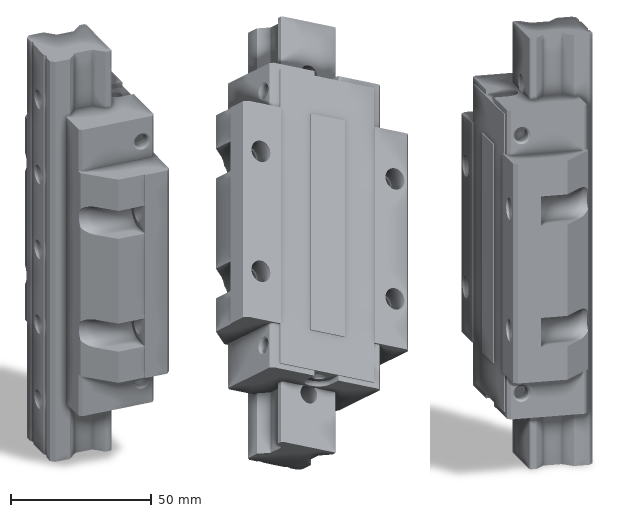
import cadquery as cq


RAIL_LENGTH = 160.0
RAIL_WIDTH = 23.0
RAIL_HEIGHT = 23.5
RAIL_BASE_CHAMFER = 1.5
RAIL_HEAD_CHAMFER = 0.5
FLANK_BOTTOM = 7.2
WAIST_BOTTOM = 10.7
WAIST_TOP = 17.5
FLANK_TOP = 21.1
WAIST_HALF_WIDTH = RAIL_WIDTH / 2 - (WAIST_BOTTOM - FLANK_BOTTOM)
GROOVE_OFFSET = 5.8
GROOVE_WIDTH = 2.5
GROOVE_DEPTH = 0.5
RAIL_HOLE_DIAMETER = 7.0
RAIL_HOLE_COUNT = 5
RAIL_HOLE_END_DISTANCE = 20.0
RAIL_HOLE_PITCH = (RAIL_LENGTH - 2 * RAIL_HOLE_END_DISTANCE) / (RAIL_HOLE_COUNT - 1)

CARRIAGE_WIDTH = 70.0
CARRIAGE_BOTTOM = 5.6
CARRIAGE_TOP = 36.0
FLANGE_LENGTH = 81.3
UNDERSIDE_HALF_WIDTH = 24.3
TOP_EDGE_CHAMFER = 1.5
REFERENCE_STEP = 0.5
REFERENCE_BOTTOM = 26.0
SLOPE_RISE = CARRIAGE_WIDTH / 2 - UNDERSIDE_HALF_WIDTH
RELIEF_DEPTH = 0.5
RELIEF_INNER = 7.2
RELIEF_OUTER = 19.8
RELIEF_FLOOR = CARRIAGE_TOP - RELIEF_DEPTH

CAPPED_LENGTH = 114.5
CAP_WIDTH = 46.9
CAP_TOP = 35.0
CAP_CHAMFER = 1.1
SEAL_THICKNESS = 2.0

MOUNT_X = 28.5
MOUNT_Z = 22.5
MOUNT_DIAMETER = 6.7
THREAD_DIAMETER = 8.0
THREAD_START = 27.7
POCKET_WIDTH = 11.2
POCKET_FLOOR = 26.0

PORT_HEIGHT = 30.0
PORT_DIAMETER = 5.1
END_SLOT_WIDTH = 10.0
END_PORT_DEPTH = 6.4
SIDE_PORT_INSET = 9.5
SIDE_PORT_DEPTH = 4.8
SIDE_PORT_RIM_DIAMETER = 6.4


def bar(points, length):
    """Prism along Z, centred on Z = 0, from an outline of (x, y) points."""
    return cq.Workplane("XY").polyline(points).close().extrude(length / 2, both=True)


def box(x_min, x_max, y_min, y_max, length):
    """Rectangular bar along Z, centred on Z = 0."""
    return bar([(x_min, y_min), (x_max, y_min), (x_max, y_max), (x_min, y_max)], length)


def y_cylinder(x, z, diameter, y_min, y_max):
    """Cylinder along Y between two heights."""
    start = cq.Vector(x, y_min, z)
    axis = cq.Vector(0, 1, 0)
    return cq.Workplane(cq.Solid.makeCylinder(diameter / 2, y_max - y_min, start, axis))


def rail_blank():
    half = RAIL_WIDTH / 2
    right_side = [
        (half - RAIL_BASE_CHAMFER, 0),
        (half, RAIL_BASE_CHAMFER),
        (half, FLANK_BOTTOM),
        (WAIST_HALF_WIDTH, WAIST_BOTTOM),
        (WAIST_HALF_WIDTH, WAIST_TOP),
        (half, FLANK_TOP),
        (half, RAIL_HEIGHT - RAIL_HEAD_CHAMFER),
        (half - RAIL_HEAD_CHAMFER, RAIL_HEIGHT),
    ]
    left_side = [(-x, y) for x, y in reversed(right_side)]
    return bar(right_side + left_side, RAIL_LENGTH)


def make_rail():
    rail = rail_blank()

    mouth = GROOVE_WIDTH / 2
    floor = mouth - GROOVE_DEPTH
    groove = bar([(-mouth, 0), (-floor, GROOVE_DEPTH), (floor, GROOVE_DEPTH), (mouth, 0)], RAIL_LENGTH)
    for side in (-1, 1):
        rail = rail.cut(groove.translate((side * GROOVE_OFFSET, 0, 0)))

    for i in range(RAIL_HOLE_COUNT):
        z = -RAIL_LENGTH / 2 + RAIL_HOLE_END_DISTANCE + i * RAIL_HOLE_PITCH
        rail = rail.cut(y_cylinder(0, z, RAIL_HOLE_DIAMETER, 0, RAIL_HEIGHT))
    return rail


def flanged_middle():
    half = CARRIAGE_WIDTH / 2
    relieved_half = half - REFERENCE_STEP
    outline = [
        (-UNDERSIDE_HALF_WIDTH, CARRIAGE_BOTTOM),
        (UNDERSIDE_HALF_WIDTH, CARRIAGE_BOTTOM),
        (relieved_half, CARRIAGE_BOTTOM + SLOPE_RISE - REFERENCE_STEP),
        (relieved_half, REFERENCE_BOTTOM),
        (half, REFERENCE_BOTTOM),
        (half, CARRIAGE_TOP - TOP_EDGE_CHAMFER),
        (half - TOP_EDGE_CHAMFER, CARRIAGE_TOP),
        (-half + TOP_EDGE_CHAMFER, CARRIAGE_TOP),
        (-half, CARRIAGE_TOP - TOP_EDGE_CHAMFER),
        (-half, CARRIAGE_BOTTOM + SLOPE_RISE),
    ]
    middle = bar(outline, FLANGE_LENGTH)
    for x_min, x_max in ((-RELIEF_OUTER, -RELIEF_INNER), (RELIEF_INNER, RELIEF_OUTER)):
        middle = middle.cut(box(x_min, x_max, RELIEF_FLOOR, CARRIAGE_TOP, FLANGE_LENGTH))
    return middle


def end_cap_core():
    """Chamfered bar that forms both end caps, with the raised pad between the seals."""
    half = CAP_WIDTH / 2
    core = box(-half, half, CARRIAGE_BOTTOM, CAP_TOP, CAPPED_LENGTH).edges("|Z").chamfer(CAP_CHAMFER)
    pad_length = CAPPED_LENGTH - 2 * SEAL_THICKNESS
    pad = box(-RELIEF_OUTER, RELIEF_OUTER, PORT_HEIGHT, RELIEF_FLOOR, pad_length)
    return core.union(pad)


def mounting_cut(side, z):
    """Through hole, wider towards the top, above a round-ended pocket open downwards and to the side."""
    x = side * MOUNT_X
    hole = y_cylinder(x, z, MOUNT_DIAMETER, CARRIAGE_BOTTOM, CARRIAGE_TOP)
    round_end = y_cylinder(x, z, POCKET_WIDTH, CARRIAGE_BOTTOM, POCKET_FLOOR)
    x_min, x_max = sorted((x, side * CARRIAGE_WIDTH / 2))
    open_part = box(x_min, x_max, CARRIAGE_BOTTOM, POCKET_FLOOR, POCKET_WIDTH).translate((0, 0, z))
    thread = y_cylinder(x, z, THREAD_DIAMETER, THREAD_START, CARRIAGE_TOP)
    return hole.union(thread).union(round_end).union(open_part)


def end_port_cut(end):
    """U-shaped slot through the seal with a blind port behind it; end is -1 or 1."""
    radius = END_SLOT_WIDTH / 2
    inward = cq.Vector(0, 0, -end)
    start = cq.Vector(0, PORT_HEIGHT, end * CAPPED_LENGTH / 2)
    round_end = cq.Workplane(cq.Solid.makeCylinder(radius, SEAL_THICKNESS, start, inward))
    slot = box(-radius, radius, PORT_HEIGHT, CAP_TOP, SEAL_THICKNESS)
    slot = slot.translate((0, 0, end * (CAPPED_LENGTH - SEAL_THICKNESS) / 2))
    port = cq.Solid.makeCylinder(PORT_DIAMETER / 2, SEAL_THICKNESS + END_PORT_DEPTH, start, inward)
    return slot.union(round_end).union(cq.Workplane(port))


def side_port_cut(side, end):
    """Blind port with a 45-degree countersunk rim in the side of an end cap."""
    z = end * (CAPPED_LENGTH / 2 - SIDE_PORT_INSET)
    start = cq.Vector(side * CAP_WIDTH / 2, PORT_HEIGHT, z)
    inward = cq.Vector(-side, 0, 0)
    rim_radius = SIDE_PORT_RIM_DIAMETER / 2
    radius = PORT_DIAMETER / 2
    port = cq.Solid.makeCylinder(radius, SIDE_PORT_DEPTH, start, inward)
    rim = cq.Solid.makeCone(rim_radius, radius, rim_radius - radius, start, inward)
    return cq.Workplane(port).union(cq.Workplane(rim))


def make_carriage():
    carriage = flanged_middle().union(end_cap_core())
    carriage = carriage.cut(rail_blank())
    for side in (-1, 1):
        for end in (-1, 1):
            carriage = carriage.cut(mounting_cut(side, end * MOUNT_Z))
            carriage = carriage.cut(side_port_cut(side, end))
    for end in (-1, 1):
        carriage = carriage.cut(end_port_cut(end))
    return carriage


rail = make_rail()
carriage = make_carriage()

result = cq.Compound.makeCompound([rail.val(), carriage.val()])